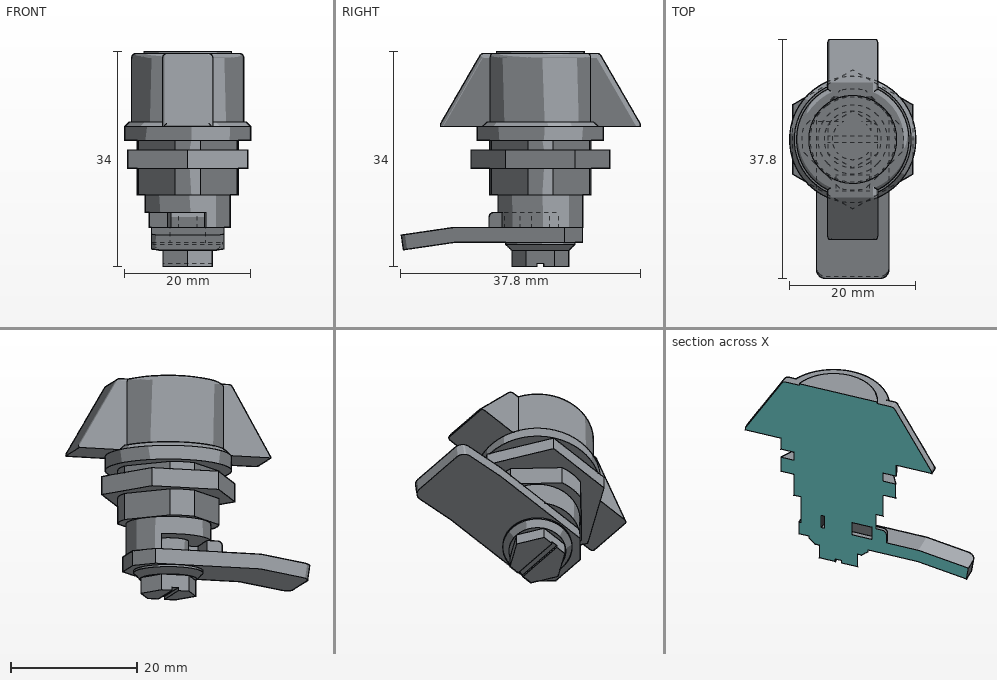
import cadquery as cq
import math


overall_length = 37.83
overall_height = 34.05
tolerance = 0.005

flange_diameter = 20.0
flange_height = 2.95
flange_chamfer = 0.75
knob_radius = 8.9
knob_top = 13.77
knob_fillet = 0.75
wing_half_width = 3.97
wing_half_span = 15.8
wing_base = flange_height - flange_chamfer
wing_tip_height = 0.4
wing_slope = 30.0
cap_radius = 6.95
cap_height = 0.3

body_radius = 8.02
body_across_flats = 13.8
body_bottom = -8.63
nut_across_flats = 19.03
nut_top = -1.5
nut_height = 2.9

shaft_radius = 6.75
shaft_bottom = -13.75
recess_height = 2.35
recess_core_radius = 3.2
recess_wall_offset = 2.88

cam_thickness = 2.4
cam_half_width = 5.75
cam_back = 6.7
cam_back_chamfer = cam_half_width + cam_back - math.sqrt(2) * shaft_radius
cam_tip = wing_half_span - overall_length
cam_bend = -13.6
cam_bend_angle = 8.3
cam_corner_radius = 1.5
tab_half_width = 2.65
tab_inner = -5.65
tab_outer = -8.15
tab_fillet = 0.75

screw_top = shaft_bottom - cam_thickness
collar_radius = 5.5
collar_height = 0.35
collar_taper = 1.0
screw_across_flats = 7.83
screw_bottom = knob_top + cap_height - overall_height
slot_width = 1.02
slot_depth = 0.5


def cylinder(radius, bottom, top):
    return cq.Workplane("XY").workplane(offset=bottom).circle(radius).extrude(top - bottom)


def box(x_range, y_range, z_range):
    ranges = (x_range, y_range, z_range)
    size = [high - low for low, high in ranges]
    corner = tuple(low for low, high in ranges)
    return cq.Workplane("XY").box(*size, centered=False).translate(corner)


def hexagon(across_flats, bottom, top):
    """Hexagonal prism with corners on the Y axis and flats facing X."""
    across_corners = across_flats / math.cos(math.pi / 6)
    prism = cq.Workplane("XY").polygon(6, across_corners).extrude(top - bottom)
    return prism.rotate((0, 0, 0), (0, 0, 1), 90).translate((0, 0, bottom))


def on_rim(edge):
    """True for the edges around the knob's top face."""
    return edge.BoundingBox().zmin > knob_top - tolerance


def along_wing_slope(edge):
    """True for the side edges that run down a wing's sloped face."""
    extent = edge.BoundingBox()
    return min(extent.ylen, extent.zlen) > tolerance


def wing_prism(half_width):
    """Both wings as one trapezoidal prism running down to sharp tips."""
    slope_tangent = math.tan(math.radians(wing_slope))
    base_half_span = wing_half_span + wing_tip_height * slope_tangent
    top_half_span = base_half_span - (knob_top - wing_base) * slope_tangent
    return (
        cq.Workplane("YZ")
        .moveTo(-base_half_span, wing_base)
        .lineTo(base_half_span, wing_base)
        .lineTo(top_half_span, knob_top)
        .lineTo(-top_half_span, knob_top)
        .close()
        .extrude(half_width, both=True)
    )


def wing_knob():
    knob = cylinder(knob_radius, wing_base, knob_top).union(wing_prism(wing_half_width))
    rounded_edges = [edge for edge in knob.edges().vals() if on_rim(edge) or along_wing_slope(edge)]
    knob = knob.newObject(rounded_edges).fillet(knob_fillet)

    envelope_half_width = 2 * knob_radius
    envelope = wing_prism(envelope_half_width).intersect(
        box(
            (-envelope_half_width, envelope_half_width),
            (-wing_half_span, wing_half_span),
            (wing_base, knob_top),
        )
    )
    envelope = envelope.faces(">Y or <Y").edges(">Z").fillet(knob_fillet)
    return knob.intersect(envelope)


def flange():
    disc = cylinder(flange_diameter / 2, 0, flange_height)
    return disc.faces(">Z").chamfer(flange_chamfer)


def threaded_body():
    flats = (
        cq.Workplane("XY")
        .rect(body_across_flats, body_across_flats)
        .extrude(body_bottom)
        .rotate((0, 0, 0), (0, 0, 1), 45)
    )
    return cylinder(body_radius, body_bottom, 0).intersect(flats)


def shaft():
    recess_top = shaft_bottom + recess_height
    outside = -2 * shaft_radius
    recess = box(
        (outside, recess_wall_offset),
        (outside, recess_wall_offset),
        (shaft_bottom, recess_top),
    )
    core = cylinder(recess_core_radius, shaft_bottom, recess_top)
    return cylinder(shaft_radius, shaft_bottom, body_bottom).cut(recess.cut(core))


def cam():
    angle = math.radians(cam_bend_angle)
    arm_length = (cam_bend - cam_tip) / math.cos(angle)
    tip_z = shaft_bottom - arm_length * math.sin(angle)
    under_tip_y = cam_tip + cam_thickness * math.sin(angle)
    under_tip_z = tip_z - cam_thickness * math.cos(angle)
    under_bend_y = cam_bend + cam_thickness * math.tan(angle / 2)
    plate = (
        cq.Workplane("YZ")
        .moveTo(cam_back, shaft_bottom)
        .lineTo(cam_bend, shaft_bottom)
        .lineTo(cam_tip, tip_z)
        .lineTo(under_tip_y, under_tip_z)
        .lineTo(under_bend_y, screw_top)
        .lineTo(cam_back, screw_top)
        .close()
        .extrude(cam_half_width, both=True)
    )
    plate = plate.faces(">Y").edges("|Z").chamfer(cam_back_chamfer)
    plate = plate.faces("<Y").edges("not(|X)").fillet(cam_corner_radius)
    tab = box(
        (-tab_half_width, tab_half_width),
        (tab_outer, tab_inner),
        (shaft_bottom, shaft_bottom + recess_height),
    )
    return plate.union(tab.faces("<Y").edges(">Z").fillet(tab_fillet))


def screw():
    collar = cylinder(collar_radius, screw_top - collar_height - collar_taper, screw_top)
    collar = collar.faces("<Z").chamfer(collar_taper)
    head = hexagon(screw_across_flats, screw_bottom, screw_top)
    slot = box(
        (-screw_across_flats, screw_across_flats),
        (-slot_width / 2, slot_width / 2),
        (screw_bottom, screw_bottom + slot_depth),
    )
    return collar.union(head).cut(slot)


cap = cylinder(cap_radius, knob_top, knob_top + cap_height)
nut = hexagon(nut_across_flats, nut_top - nut_height, nut_top)

result = flange()
for piece in (wing_knob(), cap, threaded_body(), nut, shaft(), cam(), screw()):
    result = result.union(piece)